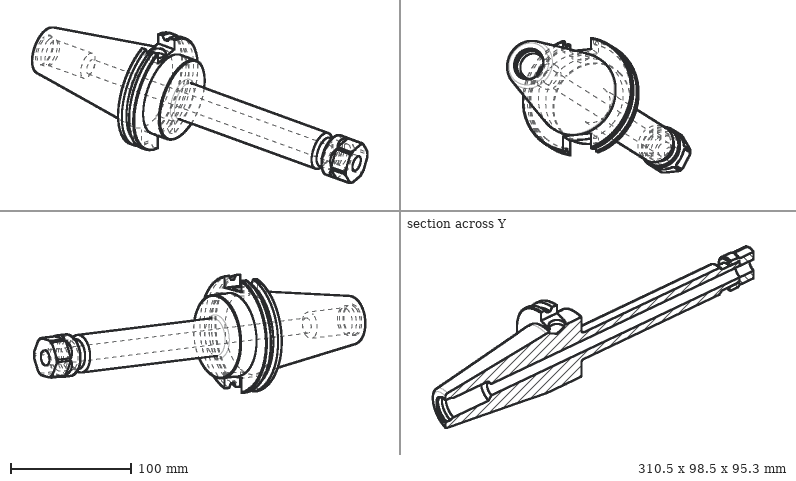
import cadquery as cq
import math


GAUGE_DIAMETER = 69.8
TAPER_LENGTH = 101.5
TAPER_RATIO = 7 / 24
SMALL_RADIUS = (GAUGE_DIAMETER - TAPER_RATIO * TAPER_LENGTH) / 2
SHANK_END_FILLET = 2.5

FLANGE_START = TAPER_LENGTH + 3.5
FLANGE_WIDTH = 16.0
FLANGE_END = FLANGE_START + FLANGE_WIDTH
FLANGE_RADIUS = 98.5 / 2
FLANGE_EDGE_CHAMFER = 0.5
GROOVE_CENTER = 112.7
GROOVE_FLOOR_WIDTH = 2.8
GROOVE_DEPTH = 3.7
GROOVE_HALF_ANGLE = 30

SLOT_WIDTH = 25.0
UPPER_SLOT_FLOOR = 38.0
LOWER_SLOT_FLOOR = GAUGE_DIAMETER / 2
DIMPLE_CENTER = 112.5
DIMPLE_DIAMETER = 14.3
DIMPLE_DEPTH = 4.7
DRILL_POINT_ANGLE = 118

HUB_RADIUS = GAUGE_DIAMETER / 2
HUB_END = 137.2
HUB_EDGE_CHAMFER = 0.5
ARBOR_RADIUS = 31.7 / 2
ARBOR_ROOT_FILLET = 2.5
ARBOR_END = 278.7
ARBOR_CHAMFER = 2.8
NOSE_RADIUS = 25.0 / 2

THROUGH_RADIUS = 12.7 / 2
MOUTH_RADIUS = 26.5 / 2
MOUTH_CHAMFER_DEPTH = 1.2
ENTRY_RADIUS = 25.0 / 2
ENTRY_DEPTH = 5.0
STEP_LENGTH = 3.0
THREAD_RADIUS = 22.0 / 2
THREAD_DEPTH = 43.5

NUT_START = 286.0
NUT_END = 310.5
NUT_RADIUS = 35.0 / 2
NUT_REAR_CHAMFER = 1.2
HEX_RUNOUT_START = 294.5
HEX_START = 296.5
HEX_ACROSS_FLATS = 31.5
NUT_FRONT_CHAMFER = 1.0
NOSE_END = HEX_START


def cylinder(start, end, radius):
    return cq.Workplane("YZ", origin=(start, 0, 0)).circle(radius).extrude(end - start)


def turned(points):
    """Revolve (x, radius) points about the X axis."""
    return cq.Workplane("XY").polyline(points).close().revolve(360, (0, 0, 0), (1, 0, 0))


def drill_cone_length(radius):
    return radius / math.tan(math.radians(DRILL_POINT_ANGLE / 2))


def make_shank():
    shank = turned([
        (0, 0),
        (0, SMALL_RADIUS),
        (TAPER_LENGTH, GAUGE_DIAMETER / 2),
        (FLANGE_START, GAUGE_DIAMETER / 2),
        (FLANGE_START, 0),
    ])
    return shank.faces("<X").edges().fillet(SHANK_END_FILLET)


def make_slot(floor, side):
    """Block that cuts one drive slot; side is +1 for the top and -1 for the bottom."""
    height = FLANGE_RADIUS
    slot = cq.Workplane("XY").box(FLANGE_WIDTH, SLOT_WIDTH, height)
    return slot.translate(((FLANGE_START + FLANGE_END) / 2, 0, side * (floor + height / 2)))


def make_dimple():
    """Blind drilled hole, with its drill point, in the floor of the upper slot."""
    radius = DIMPLE_DIAMETER / 2
    wall_end = UPPER_SLOT_FLOOR - DIMPLE_DEPTH
    profile = cq.Workplane("XZ").polyline([
        (0, UPPER_SLOT_FLOOR),
        (radius, UPPER_SLOT_FLOOR),
        (radius, wall_end),
        (0, wall_end - drill_cone_length(radius)),
    ]).close()
    return profile.revolve(360, (0, 0, 0), (0, 1, 0)).translate((DIMPLE_CENTER, 0, 0))


def make_flange():
    flange = cylinder(FLANGE_START, FLANGE_END, FLANGE_RADIUS).edges().chamfer(FLANGE_EDGE_CHAMFER)
    floor_half = GROOVE_FLOOR_WIDTH / 2
    mouth_half = floor_half + GROOVE_DEPTH * math.tan(math.radians(GROOVE_HALF_ANGLE))
    groove = turned([
        (GROOVE_CENTER - mouth_half, FLANGE_RADIUS),
        (GROOVE_CENTER - floor_half, FLANGE_RADIUS - GROOVE_DEPTH),
        (GROOVE_CENTER + floor_half, FLANGE_RADIUS - GROOVE_DEPTH),
        (GROOVE_CENTER + mouth_half, FLANGE_RADIUS),
    ])
    flange = flange.cut(groove)
    flange = flange.cut(make_slot(UPPER_SLOT_FLOOR, 1))
    return flange.cut(make_slot(LOWER_SLOT_FLOOR, -1))


def make_hub():
    hub = cylinder(FLANGE_END, HUB_END, HUB_RADIUS)
    return hub.faces(">X").edges().chamfer(HUB_EDGE_CHAMFER)


def make_arbor():
    """Arbor with a concave root fillet at the hub and a narrower nose at the far end."""
    outline = (
        cq.Workplane("XY")
        .moveTo(HUB_END, 0)
        .lineTo(HUB_END, ARBOR_RADIUS + ARBOR_ROOT_FILLET)
        .radiusArc((HUB_END + ARBOR_ROOT_FILLET, ARBOR_RADIUS), -ARBOR_ROOT_FILLET)
        .lineTo(ARBOR_END - ARBOR_CHAMFER, ARBOR_RADIUS)
        .lineTo(ARBOR_END, NOSE_RADIUS)
        .lineTo(NOSE_END, NOSE_RADIUS)
        .lineTo(NOSE_END, 0)
        .close()
    )
    return outline.revolve(360, (0, 0, 0), (1, 0, 0))


def make_bore():
    """Stepped bore from the small end, narrowing by a drill cone to the through hole."""
    step_end = ENTRY_DEPTH + STEP_LENGTH
    cone_end = THREAD_DEPTH + drill_cone_length(THREAD_RADIUS - THROUGH_RADIUS)
    return turned([
        (0, 0),
        (0, MOUTH_RADIUS),
        (MOUTH_CHAMFER_DEPTH, ENTRY_RADIUS),
        (ENTRY_DEPTH, ENTRY_RADIUS),
        (step_end, THREAD_RADIUS),
        (THREAD_DEPTH, THREAD_RADIUS),
        (cone_end, THROUGH_RADIUS),
        (NOSE_END, THROUGH_RADIUS),
        (NOSE_END, 0),
    ])


def make_holder():
    holder = make_shank().union(make_flange()).union(make_hub()).union(make_arbor())
    return holder.cut(make_dimple()).cut(make_bore())


def hexagon_face(x, across_flats):
    """Hexagon across the X axis at x, with two corners on the Y axis."""
    corner_diameter = across_flats / math.cos(math.pi / 6)
    return cq.Workplane("YZ", origin=(x, 0, 0)).polygon(6, corner_diameter)


def make_hexagon():
    """Hexagonal prism whose flats slope outward to the collar at the rear."""
    prism = hexagon_face(HEX_START, HEX_ACROSS_FLATS).extrude(NUT_END - HEX_START)
    runout_length = HEX_START - HEX_RUNOUT_START
    flat_depth = NUT_RADIUS - HEX_ACROSS_FLATS / 2
    slope = math.degrees(math.atan(flat_depth / runout_length))
    runout = hexagon_face(HEX_RUNOUT_START, 2 * NUT_RADIUS).extrude(runout_length, taper=slope)
    return prism.union(runout)


def make_nut():
    nut = cylinder(NUT_START, NUT_END, NUT_RADIUS)
    nut = nut.faces("<X").edges().chamfer(NUT_REAR_CHAMFER)
    nut = nut.faces(">X").edges().chamfer(NUT_FRONT_CHAMFER)

    front_blank = cylinder(HEX_RUNOUT_START, NUT_END, 2 * NUT_RADIUS)
    nut = nut.cut(front_blank.cut(make_hexagon()))

    nut = nut.cut(cylinder(NUT_START, NOSE_END, NOSE_RADIUS))
    return nut.cut(cylinder(NOSE_END, NUT_END, THROUGH_RADIUS))


holder = make_holder()
nut = make_nut()

result = cq.Compound.makeCompound([holder.val(), nut.val()])